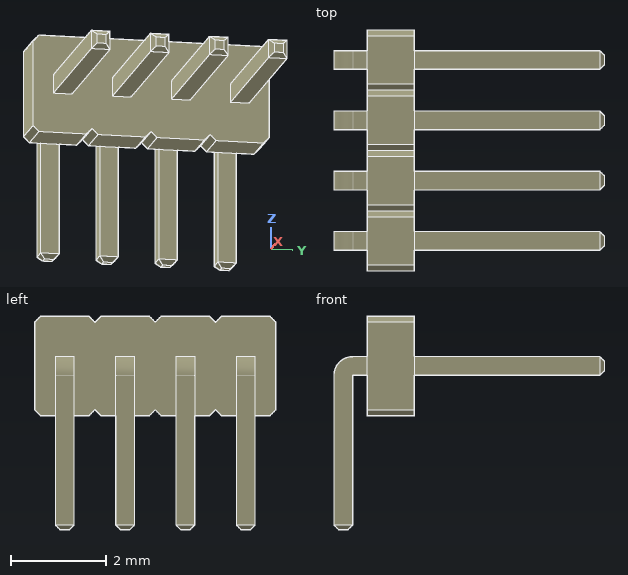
import cadquery as cq

length = 5.7
width = 5.08
height = 4.5
pin_count = 4
pitch = width / pin_count

body_start = 0.7
body_thickness = 0.99
body_height = 2.1
notch_depth = 0.125
body_bottom = height - body_height

pin_size = 0.4
tip_chamfer = 0.1
pin_axis_height = height - body_height / 2
pin_top = pin_axis_height + pin_size / 2
pin_bottom = pin_axis_height - pin_size / 2


def body_cell(center_y):
    """One chamfered block of the body; neighbours form the V notches between them."""
    return (
        cq.Workplane("XY", origin=(body_start, center_y, body_bottom))
        .box(body_thickness, pitch, body_height, centered=(False, True, False))
        .edges("|X")
        .chamfer(notch_depth)
    )


def pin(center_y):
    """Right-angle pin with a rounded outer bend, a sharp inner corner and chamfered ends."""
    bent_bar = (
        cq.Workplane("XZ", origin=(0, center_y, 0))
        .lineTo(0, pin_bottom)
        .radiusArc((pin_size, pin_top), pin_size)
        .lineTo(length, pin_top)
        .lineTo(length, pin_bottom)
        .lineTo(pin_size, pin_bottom)
        .lineTo(pin_size, 0)
        .close()
        .extrude(pin_size / 2, both=True)
    )
    bar_with_lower_tip = bent_bar.faces("<Z").chamfer(tip_chamfer)
    return bar_with_lower_tip.faces(">X").chamfer(tip_chamfer)


header = cq.Workplane("XY")
for index in range(pin_count):
    cell_center = (index + 0.5) * pitch
    header = header.union(body_cell(cell_center))
    header = header.union(pin(cell_center))

result = header.clean().solids()